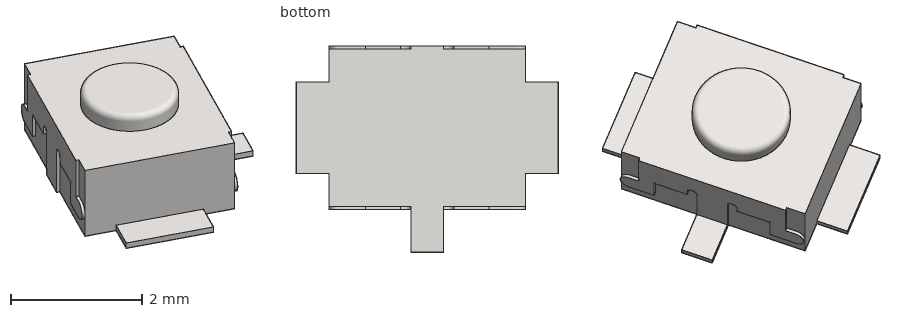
import cadquery as cq

body_length = 3.0
body_width = 2.4
body_height = 1.225

button_diameter = 1.5
button_top = 1.5
button_fillet = 0.095

lead_thickness = 0.1
side_lead_span = 4.0
side_lead_width = 1.4
rear_lead_reach = 1.9

plated_width = 2.5
plate_half_width = 1.2
hook_bottom = 0.25
hook_height = 0.3
hook_inner_x = 0.945
step_height = 0.65
tongue_width = 0.5
relief_width = 0.155
relief_top = 0.83

half_length = body_length / 2
plate_thickness = (plated_width - body_width) / 2
hook_radius = hook_height / 2
hook_top = hook_bottom + hook_height
tongue_x = tongue_width / 2
relief_radius = relief_width / 2
relief_outer_x = tongue_x + relief_width
relief_arc_z = relief_top - relief_radius


def block(x_size, y_min, y_max, height):
    """Block centred in X, standing on Z = 0."""
    return (
        cq.Workplane("XY")
        .box(x_size, y_max - y_min, height, centered=(True, False, False))
        .translate((0, y_min, 0))
    )


def half_plate():
    """Right half of the front cover plate, with a rounded hook and a relief beside the tongue."""
    return (
        cq.Workplane("XZ", origin=(0, -body_width / 2, 0))
        .moveTo(0, 0)
        .lineTo(tongue_x, 0)
        .lineTo(tongue_x, relief_arc_z)
        .threePointArc((tongue_x + relief_radius, relief_top), (relief_outer_x, relief_arc_z))
        .lineTo(relief_outer_x, step_height)
        .lineTo(hook_inner_x, step_height)
        .lineTo(hook_inner_x, hook_bottom)
        .lineTo(half_length - hook_radius, hook_bottom)
        .threePointArc(
            (half_length, hook_bottom + hook_radius),
            (half_length - hook_radius, hook_top),
        )
        .lineTo(plate_half_width, hook_top)
        .lineTo(plate_half_width, body_height)
        .lineTo(0, body_height)
        .close()
        .extrude(plate_thickness)
    )


housing = block(body_length, -body_width / 2, body_width / 2, body_height)

button = (
    cq.Workplane("XY")
    .circle(button_diameter / 2)
    .extrude(button_top)
    .faces(">Z")
    .edges()
    .fillet(button_fillet)
)

side_leads = block(side_lead_span, -side_lead_width / 2, side_lead_width / 2, lead_thickness)

rear_lead = block(tongue_width, body_width / 2, rear_lead_reach, lead_thickness)

front_plate = half_plate().union(half_plate().mirror("YZ"))
rear_plate = front_plate.mirror("XZ")

result = housing
for piece in (button, side_leads, rear_lead, front_plate, rear_plate):
    result = result.union(piece)
result = result.clean()